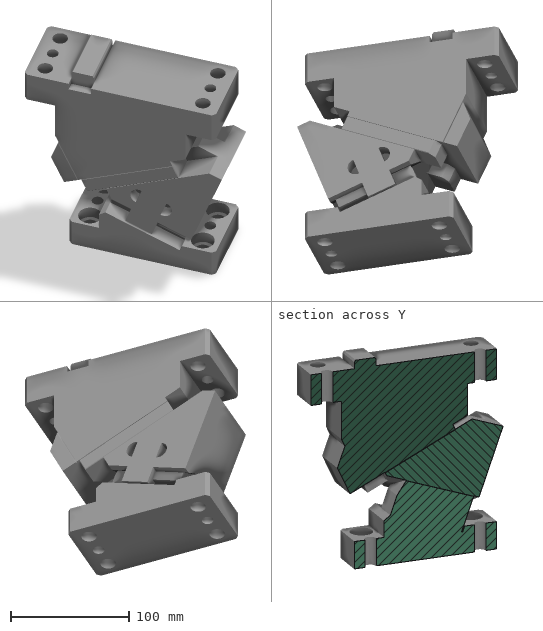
import cadquery as cq
import math


WIDTH = 65.0
CORNER_CHAMFER = 3.0
HOLE_END_DISTANCE = 15.0
BOLT_SPACING = 40.1
BOLT_OFFSETS = [-BOLT_SPACING / 2, BOLT_SPACING / 2]
BOLT_DIAMETER = 13.1
DOWEL_DIAMETER = 10.0
FAR = 375.0

DRIVER_ANGLE = 20.0
DRIVER_ORIGIN = (32.8, 43.9)

CAM_ANGLE = 25.0
CAM_ORIGIN = (16.5, 63.0)

BASE_LENGTH = 130.5
BASE_HEIGHT = 25.0
RISER_X = 27.0
RISER_HEIGHT = 39.8
RECESS_END = 70.5
COUNTERBORE_DIAMETER = 20.0
COUNTERBORE_DEPTH = 10.5

GUIDE_LENGTH = 70.0
GUIDE_SHOULDER = 17.5
GUIDE_UNDERSIDE = 9.0
STEM_WIDTH = 38.0
HEAD_WIDTH = 52.1
ROOF_ANGLE = 30.0
LEAD_ANGLE = 15.0
LEAD_START = 18.0
GUIDE_TOP = GUIDE_SHOULDER + HEAD_WIDTH / 2 * math.tan(math.radians(ROOF_ANGLE))

SLIDER_START = 18.8
SLIDER_END = 75.0
SLIDER_TOP = 97.3
LEG_START = 18.0
LEG_LENGTH = 25.3
LEG_BOTTOM = 2.0
LEG_GAP_WIDTH = 53.5
LIP_GAP_WIDTH = 43.0
LIP_TOP = 8.6
POCKET_RADIUS = 7.5
POCKET_OFFSET = 11.8
POCKET_HEIGHT = 34.9
POCKET_DEPTH = 11.2

HOLDER_LEFT = -40.0
HOLDER_LENGTH = 170.5
HOLDER_TOP = 180.0
FLANGE_HEIGHT = 28.0
BODY_LEFT = -12.0
BODY_RIGHT = 104.0
BODY_START = -2.5
NOTCH_HEIGHT = 4.9

STRIP_LENGTH = 90.0
STRIP_HEIGHT = 13.1
STRIP_GAP = 19.0
STRIP_WIDTH = (WIDTH - STRIP_GAP) / 2
STRIP_CORNER = 5.0
STRIP_EDGE_CHAMFER = 0.5

STOP_THICKNESS = 14.0
STOP_HEIGHT = 41.6
STOP_EDGE_CHAMFER = 1.0

KEY_WIDTH = 20.0
KEY_LENGTH = 50.0
KEY_HEIGHT = 13.7
KEYWAY_DEPTH = 6.2
KEY_CHAMFER_X = 1.1
KEY_CHAMFER_Z = 1.9


def frame(origin, angle):
    """Plane square to Y whose local x climbs by angle degrees from +X."""
    turn = math.radians(angle)
    return cq.Workplane(
        cq.Plane((origin[0], 0, origin[1]), (math.cos(turn), 0, math.sin(turn)), (0, -1, 0))
    )


def world():
    """Plane with X across and Z up."""
    return frame((0, 0), 0)


def driver():
    """Plane along the driver slide; y is the height above the base recess."""
    return frame(DRIVER_ORIGIN, -DRIVER_ANGLE)


def cam():
    """Plane along the cam slide; y is the height above the slider's strip seats."""
    return frame(CAM_ORIGIN, CAM_ANGLE)


def prism(plane, points, width):
    """Outline extruded by width, centred on Y = 0."""
    return plane.polyline(points).close().extrude(width / 2, both=True)


def bar(plane, x0, x1, y0, y1, width):
    """Rectangular bar between two corners of a plane, centred on Y = 0."""
    return prism(plane, [(x0, y0), (x1, y0), (x1, y1), (x0, y1)], width)


def plate(left, length, bottom, height):
    """Flat plate with its four upright corners chamfered."""
    block = bar(world(), left, left + length, bottom, bottom + height, WIDTH)
    return block.edges("|Z").chamfer(CORNER_CHAMFER)


def end_rows(left, length, z, offsets):
    """Workplane at height z with hole centres at the given Y offsets near both ends of a plate."""
    ends = [left + HOLE_END_DISTANCE, left + length - HOLE_END_DISTANCE]
    return cq.Workplane().workplane(offset=z).pushPoints([(x, y) for x in ends for y in offsets])


def roofed_section(width, bottom, start, end):
    """Bar of the given width along the driver slide, topped by the ridged roof of the guide."""
    section = bar(driver(), start, end, bottom, GUIDE_TOP, width)
    across = driver().transformed(rotate=(0, 90, 0))
    roof = (
        across.polyline(
            [
                (-HEAD_WIDTH / 2, bottom),
                (HEAD_WIDTH / 2, bottom),
                (HEAD_WIDTH / 2, GUIDE_SHOULDER),
                (0, GUIDE_TOP),
                (-HEAD_WIDTH / 2, GUIDE_SHOULDER),
            ]
        )
        .close()
        .extrude(FAR, both=True)
    )
    return section.intersect(roof)


def make_guide():
    """T-shaped guide: a full-length stem, and a wider head that starts level with the legs."""
    stem = roofed_section(STEM_WIDTH, 0, 0, GUIDE_LENGTH)
    head = roofed_section(HEAD_WIDTH, GUIDE_UNDERSIDE, LEG_START, GUIDE_LENGTH)
    lead = [
        (0, LEAD_START),
        ((GUIDE_TOP - LEAD_START) * math.tan(math.radians(LEAD_ANGLE)), GUIDE_TOP),
        (0, GUIDE_TOP),
    ]
    return stem.union(head).cut(prism(driver(), lead, WIDTH))


def make_base():
    """Plate with a riser, recessed along the driver slide, that carries the guide."""
    body = plate(0, BASE_LENGTH, 0, BASE_HEIGHT)
    slide_x, slide_z = DRIVER_ORIGIN
    riser_end = slide_x + (slide_z - BASE_HEIGHT) / math.tan(math.radians(DRIVER_ANGLE))
    riser = prism(
        world(),
        [
            (RISER_X, 0),
            (riser_end, 0),
            (riser_end, BASE_HEIGHT),
            DRIVER_ORIGIN,
            (RISER_X, RISER_HEIGHT),
        ],
        WIDTH,
    )
    body = body.union(riser).cut(bar(driver(), 0, RECESS_END, 0, FAR, 2 * WIDTH))
    body = body.union(make_guide())
    bolts = end_rows(0, BASE_LENGTH, 0, BOLT_OFFSETS).circle(BOLT_DIAMETER / 2).extrude(BASE_HEIGHT)
    dowels = end_rows(0, BASE_LENGTH, 0, [0]).circle(DOWEL_DIAMETER / 2).extrude(BASE_HEIGHT)
    seats = (
        end_rows(0, BASE_LENGTH, BASE_HEIGHT - COUNTERBORE_DEPTH, BOLT_OFFSETS)
        .circle(COUNTERBORE_DIAMETER / 2)
        .extrude(COUNTERBORE_DEPTH)
    )
    return body.cut(bolts).cut(dowels).cut(seats)


def make_legs():
    """Pair of legs beside the guide, each with a lip that hooks under its head."""
    leg_end = LEG_START + LEG_LENGTH
    legs = bar(driver(), LEG_START, leg_end, LEG_BOTTOM, GUIDE_SHOULDER, WIDTH)
    head_gap = bar(driver(), LEG_START, leg_end, LIP_TOP, GUIDE_SHOULDER, LEG_GAP_WIDTH)
    lip_gap = bar(driver(), LEG_START, leg_end, LEG_BOTTOM, LIP_TOP, LIP_GAP_WIDTH)
    return legs.cut(head_gap).cut(lip_gap)


def make_pockets():
    """Two half-round pockets in each side, their flat walls facing away from each other."""
    middle = LEG_START + LEG_LENGTH / 2
    pockets = cq.Workplane()
    for side in (-1, 1):
        x = middle + side * POCKET_OFFSET
        pocket = (
            driver()
            .moveTo(x, POCKET_HEIGHT - POCKET_RADIUS)
            .threePointArc((x + side * POCKET_RADIUS, POCKET_HEIGHT), (x, POCKET_HEIGHT + POCKET_RADIUS))
            .close()
            .extrude(WIDTH / 2, both=True)
        )
        pockets = pockets.add(pocket)
    core = bar(world(), -FAR, FAR, -FAR, FAR, WIDTH - 2 * POCKET_DEPTH)
    return pockets.combine().cut(core)


def make_slider():
    """Wedge between the two slides, with a raised rib between the guide strips."""
    envelope = bar(driver(), -FAR, SLIDER_END, GUIDE_SHOULDER, SLIDER_TOP, WIDTH)
    lower = bar(cam(), SLIDER_START, FAR, -FAR, 0, WIDTH)
    rib = bar(cam(), SLIDER_START, FAR, 0, STRIP_HEIGHT, STRIP_GAP)
    body = envelope.intersect(lower.union(rib))
    body = body.cut(roofed_section(HEAD_WIDTH, 0, -FAR, FAR))
    return body.union(make_legs()).cut(make_pockets())


def make_strip(y_start):
    """Guide strip with its outer edges broken and a large chamfer on the leading +Y corner."""
    outer_face = "<Y" if y_start < 0 else ">Y"
    strip = bar(cam(), 0, STRIP_LENGTH, 0, STRIP_HEIGHT, STRIP_WIDTH)
    strip = strip.faces(outer_face).chamfer(STRIP_EDGE_CHAMFER)
    side = STRIP_WIDTH / 2
    corner = (
        cam()
        .transformed(rotate=(-90, 0, 0))
        .polyline([(0, side), (STRIP_CORNER, side), (0, side - STRIP_CORNER)])
        .close()
        .extrude(FAR, both=True)
    )
    return strip.cut(corner).translate((0, y_start + side, 0))


def make_stop():
    """Block across the sloping end of the holder body, with a 45 degree upper face."""
    tip = BODY_START - STOP_THICKNESS
    top = STRIP_HEIGHT + STOP_HEIGHT
    outline = [
        (BODY_START, STRIP_HEIGHT),
        (BODY_START, top),
        (tip, top - STOP_THICKNESS),
        (tip, STRIP_HEIGHT),
    ]
    stop = prism(cam(), outline, WIDTH)
    mating_face = stop.faces(cq.selectors.DirectionMinMaxSelector(cam().plane.xDir))
    return mating_face.edges("not |Y").chamfer(STOP_EDGE_CHAMFER)


def make_key():
    """Key whose left side lies at X = 0, level with the left end of the base."""
    z = HOLDER_TOP - KEYWAY_DEPTH
    top = z + KEY_HEIGHT
    outline = [
        (0, z),
        (KEY_WIDTH, z),
        (KEY_WIDTH, top - KEY_CHAMFER_Z),
        (KEY_WIDTH - KEY_CHAMFER_X, top),
        (KEY_CHAMFER_X, top),
        (0, top - KEY_CHAMFER_Z),
    ]
    return prism(world(), outline, KEY_LENGTH)


def make_holder():
    """Flange and column, with the guide strips, the stop block and the key as one solid."""
    flange_z = HOLDER_TOP - FLANGE_HEIGHT
    flange = plate(HOLDER_LEFT, HOLDER_LENGTH, flange_z, FLANGE_HEIGHT)
    column = bar(world(), BODY_LEFT, BODY_RIGHT, 0, flange_z, WIDTH)
    notch_top = STRIP_HEIGHT + NOTCH_HEIGHT
    above_slide = bar(cam(), BODY_START, STRIP_LENGTH, STRIP_HEIGHT, FAR, WIDTH).union(
        bar(cam(), BODY_START, FAR, notch_top, FAR, WIDTH)
    )
    holder = flange.union(column.intersect(above_slide))
    for y_start in (-WIDTH / 2, STRIP_GAP / 2):
        holder = holder.union(make_strip(y_start))
    holder = holder.union(make_stop())
    holder = holder.cut(bar(world(), 0, KEY_WIDTH, HOLDER_TOP - KEYWAY_DEPTH, HOLDER_TOP, WIDTH))
    holder = holder.union(make_key())
    bolts = end_rows(HOLDER_LEFT, HOLDER_LENGTH, flange_z, BOLT_OFFSETS).circle(BOLT_DIAMETER / 2)
    dowels = end_rows(HOLDER_LEFT, HOLDER_LENGTH, flange_z, [0]).circle(DOWEL_DIAMETER / 2)
    return holder.cut(bolts.extrude(FLANGE_HEIGHT)).cut(dowels.extrude(FLANGE_HEIGHT))


base = make_base()
slider = make_slider()
holder = make_holder()

result = cq.Compound.makeCompound([base.solids().val(), slider.solids().val(), holder.solids().val()])